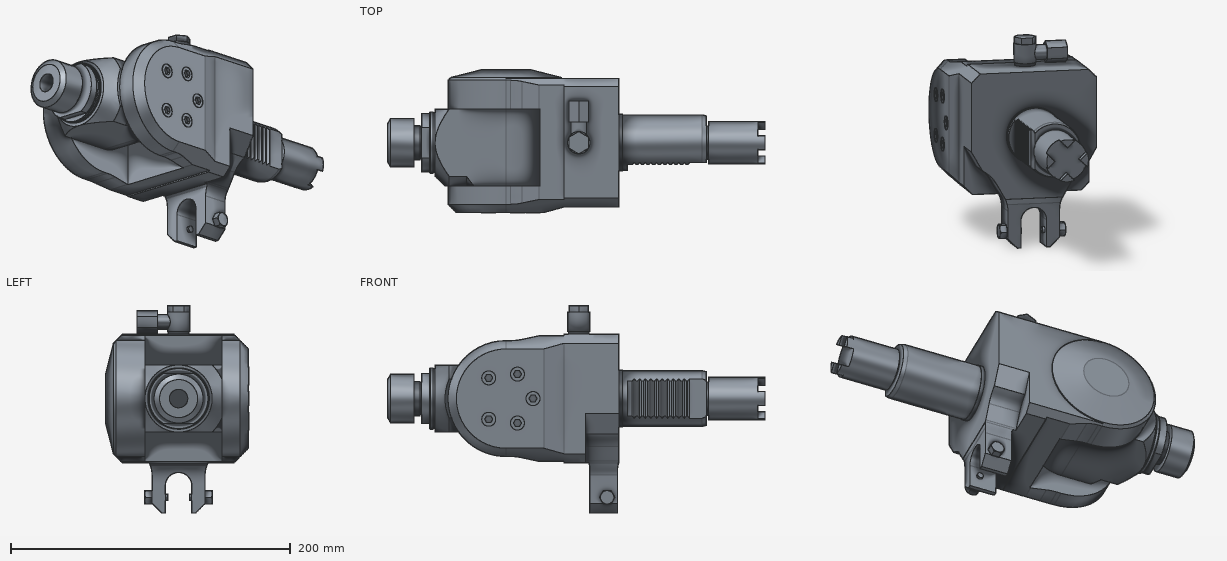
import cadquery as cq
import math


overall_length = 270.0
overall_height = 148.5
overlap = 1.0
hex_corner_ratio = 1 / math.cos(math.radians(30))

hinge_x = -80.6
arm_radius = 41.5
arm_front_y = -50.0
arm_back_y = 46.7
block_half = 46.0
block_start_x = -39.2
slope_start_x = -53.6
front_edge_sum = 85.5
back_edge_sum = 86.2
shoulder_angle = math.radians(12)
shoulder_start_x = -77.4
shoulder_arc_end_x = -69.2
shoulder_end_x = -57.0
swivel_half = 24.0
slot_front_y = -31.0
slot_back_y = swivel_half
slot_clearance = 0.2
slot_wall_x = hinge_x + swivel_half + slot_clearance

cap_base_radius = back_edge_sum - arm_back_y
cap_top_radius = 17.5
cap_top_y = 52.3

screw_circle_radius = 19.3
screw_angles = [0, 65, 130, -65, -130]
screw_radius = 5.0
screw_rise = 0.4
socket_flats = 5.0
socket_depth = 2.5

head_front_x = -131.3
head_corner_radius = 34.0
head_corner_end_x = -108.8
nose_front_x = -165.4
nose_face_radius = 13.6
nose_radius = 17.5
nose_cone_angle = math.radians(30)
nose_back_x = -146.3
neck_radius = 12.3
neck_step_x = -142.0
neck_step_radius = 11.5
nut_front_x = -140.9
nut_back_x = -135.3
nut_radius = 21.0
nut_flat_half = 18.0
ring_radius = 22.0
ring_land_start_x = -134.6
ring_land_end_x = -132.8
ring_edge_radius = 21.5
bore_radius = 6.6
bore_depth = 30.0

flange_radius = 20.4
flange_length = 2.7
shank_radius = 20.0
shank_length = 62.7
shank_chamfer_length = 3.0
shank_chamfer_drop = 0.8
rack_start_x = 6.2
rack_crest_y = -15.6
rack_root_y = -14.2
rack_pitch = 4.0
rack_teeth = 10
rack_first_gap_x = 11.0
rack_end_x = 50.6
relief_radius = 12.0
drive_start_x = 64.2
drive_end_x = nose_front_x + overall_length
drive_radius = 15.3
drive_slot_angles = (45, -45)
drive_slot_width = 13.2
drive_slot_depth = 5.2

recess_start_x = -23.7
recess_top_z = -10.6
recess_mid_z = -25.2
recess_low_z = -34.1
recess_angle = math.radians(30)
fork_front_x = -20.9
fork_back_x = -0.8
fork_front_taper = 0.8
fork_front_taper_end_z = -48.0
fork_back_taper_end_z = -50.0
fork_half_width = 19.0
fork_root_radius = 20.0
fork_root_z = -54.8
fork_bottom_z = -82.0
fork_chamfer = 7.0
fork_slot_half = 9.4
fork_slot_arc_z = -62.3
pin_x = -8.3
pin_z = -70.6
pin_flats = 9.6
pin_outer_y = 24.2
pin_tip_radius = 2.3
pin_tip_y = 7.7

elbow_x = -28.6
elbow_radius = 8.0
elbow_collar_radius = 7.4
elbow_collar_top_z = 48.0
elbow_body_top_z = 61.9
elbow_top_z = fork_bottom_z + overall_height
elbow_hex_corners = 16.0
branch_z = 54.8
branch_radius = 5.4
branch_hex_start_y = 15.0
branch_end_y = 29.8


def box(x0, x1, y0, y1, z0, z1):
    block = cq.Workplane("XY").box(x1 - x0, y1 - y0, z1 - z0, centered=False)
    return block.translate((x0, y0, z0))


def cylinder_y(x, z, radius, y0, y1):
    start = cq.Workplane("XZ", origin=(x, y0, z))
    return start.circle(radius).extrude(y0 - y1)


def turned_about_x(points):
    """Revolve an (x, radius) outline about the spindle axis."""
    return cq.Workplane("XY").polyline(points).close().revolve(360, (0, 0), (1, 0))


def turned_about_hinge(points):
    """Revolve a (radius, y) outline about the swivel axis."""
    turned = cq.Workplane("XY").polyline(points).close().revolve(360, (0, 0), (0, 1))
    return turned.translate((hinge_x, 0, 0))


def arm_round():
    """Rounded ends of both arms, with their chamfered rims."""
    disc = turned_about_hinge([
        (0, arm_front_y),
        (front_edge_sum + arm_front_y, arm_front_y),
        (arm_radius, arm_radius - front_edge_sum),
        (arm_radius, back_edge_sum - arm_radius),
        (cap_base_radius, arm_back_y),
        (0, arm_back_y),
    ])
    left = hinge_x - 2 * arm_radius
    half = box(left, hinge_x, arm_front_y, arm_back_y, -arm_radius, arm_radius)
    return disc.intersect(half)


def straight_housing():
    """Housing from the swivel axis back to the seating face."""
    arc_run = shoulder_arc_end_x - shoulder_start_x
    arc_radius = arc_run / math.sin(shoulder_angle)

    def arc_height(angle):
        return arm_radius + arc_radius * (1 - math.cos(angle))

    arc_mid_x = shoulder_start_x + arc_radius * math.sin(shoulder_angle / 2)
    arc_mid_z = arc_height(shoulder_angle / 2)
    arc_end_z = arc_height(shoulder_angle)
    shoulder_z = arc_end_z + (shoulder_end_x - shoulder_arc_end_x) * math.tan(shoulder_angle)
    upper = (
        cq.Workplane("XZ", origin=(0, arm_back_y, 0))
        .moveTo(hinge_x, 0)
        .lineTo(hinge_x, arm_radius)
        .lineTo(shoulder_start_x, arm_radius)
        .threePointArc((arc_mid_x, arc_mid_z), (shoulder_arc_end_x, arc_end_z))
        .lineTo(shoulder_end_x, shoulder_z)
        .lineTo(block_start_x, shoulder_z)
        .lineTo(block_start_x, block_half)
        .lineTo(0, block_half)
        .lineTo(0, 0)
        .close()
        .extrude(arm_back_y - arm_front_y)
    )
    side_profile = upper.union(upper.mirror("XY"))
    plan = (
        cq.Workplane("XY", origin=(0, 0, -block_half))
        .polyline([
            (hinge_x, arm_front_y),
            (slope_start_x, arm_front_y),
            (block_start_x, -block_half),
            (0, -block_half),
            (0, block_half),
            (hinge_x, block_half),
        ])
        .close()
        .extrude(2 * block_half)
    )
    front_edge_z = front_edge_sum + arm_front_y
    front_edge_y = block_half - front_edge_sum
    back_edge_z = back_edge_sum - arm_back_y
    back_edge_y = back_edge_sum - block_half
    section = (
        cq.Workplane("YZ", origin=(hinge_x, 0, 0))
        .polyline([
            (arm_front_y, -front_edge_z),
            (front_edge_y, -block_half),
            (back_edge_y, -block_half),
            (arm_back_y, -back_edge_z),
            (arm_back_y, back_edge_z),
            (back_edge_y, block_half),
            (front_edge_y, block_half),
            (arm_front_y, front_edge_z),
        ])
        .close()
        .extrude(-hinge_x)
    )
    return side_profile.intersect(plan).intersect(section)


def arm_slot():
    """Gap between the two arms, open at the front, top and bottom."""
    left = hinge_x - 2 * arm_radius
    return box(left, slot_wall_x, slot_front_y, slot_back_y, -2 * block_half, 2 * block_half)


def back_cap():
    """Shallow cone closing the back arm."""
    return turned_about_hinge([
        (0, slot_back_y),
        (cap_base_radius, slot_back_y),
        (cap_base_radius, arm_back_y),
        (cap_top_radius, cap_top_y),
        (0, cap_top_y),
    ])


def with_screws(body):
    """Add cap screw heads with hexagon sockets around the swivel axis."""
    head_y = arm_front_y - screw_rise
    socket_corners = socket_flats * hex_corner_ratio
    for angle in screw_angles:
        x = hinge_x + screw_circle_radius * math.cos(math.radians(angle))
        z = screw_circle_radius * math.sin(math.radians(angle))
        body = body.union(cylinder_y(x, z, screw_radius, head_y, arm_front_y + overlap))
        mouth = cq.Workplane("XZ", origin=(x, head_y, z))
        body = body.cut(mouth.polygon(6, socket_corners).extrude(-socket_depth))
    return body


def swivel_head():
    """Block between the arms, rounded at the back and turned at the front."""
    block = box(head_front_x, hinge_x, slot_front_y, slot_back_y, -swivel_half, swivel_half)
    block = block.union(cylinder_y(hinge_x, 0, swivel_half, slot_front_y, slot_back_y))
    back_x = hinge_x + swivel_half
    turned = turned_about_x([
        (head_front_x, 0),
        (head_front_x, swivel_half),
        (head_front_x + head_corner_radius - swivel_half, head_corner_radius),
        (head_corner_end_x, head_corner_radius),
        (back_x, head_corner_radius + back_x - head_corner_end_x),
        (back_x, 0),
    ])
    return block.intersect(turned)


def collet_nose():
    """Nose, clamping nut with two flats, and sealing ring, bored from the front."""
    cone_run = (nose_radius - nose_face_radius) * math.tan(nose_cone_angle)
    nose = turned_about_x([
        (nose_front_x, 0),
        (nose_front_x, nose_face_radius),
        (nose_front_x + cone_run, nose_radius),
        (nose_back_x, nose_radius),
        (nose_back_x, neck_radius),
        (neck_step_x, neck_radius),
        (neck_step_x, neck_step_radius),
        (nut_front_x, neck_step_radius),
        (nut_front_x, 0),
    ])
    nut = cq.Workplane("YZ", origin=(nut_front_x, 0, 0)).circle(nut_radius)
    nut = nut.extrude(nut_back_x - nut_front_x)
    flats = box(nut_front_x, nut_back_x, -nut_radius, nut_radius, -nut_flat_half, nut_flat_half)
    ring = turned_about_x([
        (nut_back_x, 0),
        (nut_back_x, ring_edge_radius),
        (ring_land_start_x, ring_radius),
        (ring_land_end_x, ring_radius),
        (ring_land_end_x, ring_edge_radius),
        (head_front_x, ring_edge_radius),
        (head_front_x, 0),
    ])
    bore = cq.Workplane("YZ", origin=(nose_front_x, 0, 0)).circle(bore_radius).extrude(bore_depth)
    return nose.union(nut.intersect(flats)).union(ring).cut(bore)


def shank():
    """Seating flange and toothed shank."""
    body = turned_about_x([
        (0, 0),
        (0, flange_radius),
        (flange_length, flange_radius),
        (flange_length, shank_radius),
        (shank_length - shank_chamfer_length, shank_radius),
        (shank_length, shank_radius - shank_chamfer_drop),
        (shank_length, 0),
    ])
    gap_depth = rack_root_y - rack_crest_y
    outline = [(rack_start_x, -flange_radius), (rack_start_x, rack_crest_y)]
    for tooth in range(rack_teeth):
        gap_x = rack_first_gap_x + tooth * rack_pitch
        outline += [
            (gap_x - gap_depth, rack_crest_y),
            (gap_x, rack_root_y),
            (gap_x + gap_depth, rack_crest_y),
        ]
    outline += [
        (rack_end_x - gap_depth, rack_crest_y),
        (rack_end_x, rack_root_y),
        (shank_length, rack_root_y),
        (shank_length, -flange_radius),
    ]
    rack = cq.Workplane("XY", origin=(0, 0, -shank_radius)).polyline(outline).close()
    return body.cut(rack.extrude(2 * shank_radius))


def drive_end():
    """Tip with four claws left between two diagonal slots."""
    tip = turned_about_x([
        (shank_length, 0),
        (shank_length, relief_radius),
        (drive_start_x, relief_radius),
        (drive_start_x, drive_radius),
        (drive_end_x, drive_radius),
        (drive_end_x, 0),
    ])
    half = drive_slot_width / 2
    reach = 2 * drive_radius
    slot_floor_x = drive_end_x - drive_slot_depth
    for angle in drive_slot_angles:
        slot = box(slot_floor_x, drive_end_x, -reach, reach, -half, half)
        tip = tip.cut(slot.rotate((0, 0, 0), (1, 0, 0), angle))
    return tip


def fork_root_y(z):
    """Half width of the fork where its root arc passes height z."""
    rise = z - fork_root_z
    return fork_half_width + fork_root_radius - math.sqrt(fork_root_radius**2 - rise**2)


root_arc_top_z = fork_root_z + fork_root_radius * math.sin(recess_angle)
root_arc_top_y = fork_root_y(root_arc_top_z)


def fork_recess():
    """Slanted relief on the back (+Y) side of the fork, under the rear block."""
    slant = math.tan(recess_angle)
    upper_y = block_half - (recess_top_z - recess_mid_z) * slant
    lower_y = root_arc_top_y + (recess_low_z - root_arc_top_z) * slant
    run = upper_y - lower_y
    drop = recess_mid_z - recess_low_z
    chord_angle = math.atan2(run, drop)
    half_turn = chord_angle - recess_angle
    sagitta = math.hypot(run, drop) / 2 * math.tan(half_turn / 2)
    arc_mid = (
        (upper_y + lower_y) / 2 - sagitta * math.cos(chord_angle),
        (recess_mid_z + recess_low_z) / 2 + sagitta * math.sin(chord_angle),
    )
    low_z = -block_half - overlap
    return (
        cq.Workplane("YZ", origin=(recess_start_x, 0, 0))
        .moveTo(block_half, recess_top_z)
        .lineTo(upper_y, recess_mid_z)
        .threePointArc(arc_mid, (lower_y, recess_low_z))
        .lineTo(root_arc_top_y, root_arc_top_z)
        .lineTo(fork_root_y(-block_half), -block_half)
        .lineTo(fork_root_y(-block_half), low_z)
        .lineTo(block_half + overlap, low_z)
        .lineTo(block_half + overlap, recess_top_z)
        .close()
        .extrude(-recess_start_x)
    )


def fork():
    """Slotted fork with a hexagon-headed pin through each prong."""
    root_arc_mid_z = (root_arc_top_z + fork_root_z) / 2
    half = (
        cq.Workplane("YZ", origin=(recess_start_x, 0, 0))
        .moveTo(0, root_arc_top_z)
        .lineTo(root_arc_top_y, root_arc_top_z)
        .threePointArc((fork_root_y(root_arc_mid_z), root_arc_mid_z), (fork_half_width, fork_root_z))
        .lineTo(fork_half_width, fork_bottom_z + fork_chamfer)
        .lineTo(fork_half_width - fork_chamfer, fork_bottom_z)
        .lineTo(fork_slot_half, fork_bottom_z)
        .lineTo(fork_slot_half, fork_slot_arc_z)
        .radiusArc((0, fork_slot_arc_z + fork_slot_half), -fork_slot_half)
        .close()
        .extrude(-recess_start_x)
    )
    taper_x = fork_front_x - fork_front_taper
    thickness = (
        cq.Workplane("XZ")
        .polyline([
            (taper_x, root_arc_top_z),
            (fork_front_x, fork_front_taper_end_z),
            (fork_front_x, fork_bottom_z),
            (fork_back_x, fork_bottom_z),
            (fork_back_x, fork_back_taper_end_z),
            (0, root_arc_top_z),
        ])
        .close()
        .extrude(-root_arc_top_y)
    )
    half = half.intersect(thickness)
    pin_corners = pin_flats * hex_corner_ratio
    pin = cq.Workplane("XZ", origin=(pin_x, pin_outer_y, pin_z)).polygon(6, pin_corners)
    pin = pin.extrude(pin_outer_y - fork_half_width)
    pin_round = cylinder_y(pin_x, pin_z, pin_corners / 2, fork_half_width, pin_outer_y)
    pin = pin.intersect(pin_round.faces(">Y").chamfer((pin_corners - pin_flats) / 2))
    tip = cylinder_y(pin_x, pin_z, pin_tip_radius, pin_tip_y, fork_half_width)
    side = half.union(pin).union(tip)
    return side.union(side.mirror("XZ"))


def coolant_elbow():
    """Upright fitting with a branch pipe and hexagon nut toward the back."""
    base = cq.Workplane("XY", origin=(elbow_x, 0, 0))
    collar = base.workplane(offset=block_half - overlap).circle(elbow_collar_radius)
    collar = collar.extrude(elbow_collar_top_z - block_half + overlap)
    body = base.workplane(offset=elbow_collar_top_z).circle(elbow_radius)
    body = body.extrude(elbow_body_top_z - elbow_collar_top_z)
    top = base.workplane(offset=elbow_body_top_z).transformed(rotate=(0, 0, 90))
    top = top.polygon(6, elbow_hex_corners).extrude(elbow_top_z - elbow_body_top_z)
    branch = cylinder_y(elbow_x, branch_z, branch_radius, 0, branch_hex_start_y)
    nut = cq.Workplane("XZ", origin=(elbow_x, branch_hex_start_y, branch_z))
    nut = nut.transformed(rotate=(0, 0, 90)).polygon(6, elbow_hex_corners)
    nut = nut.extrude(branch_hex_start_y - branch_end_y)
    return collar.union(body).union(top).union(branch).union(nut)


housing = arm_round().union(straight_housing()).union(back_cap()).cut(arm_slot())
recess = fork_recess()
housing = housing.cut(recess).cut(recess.mirror("XZ"))
housing = with_screws(housing)

result = housing.union(swivel_head()).union(collet_nose()).union(shank()).union(drive_end())
result = result.union(fork()).union(coolant_elbow())